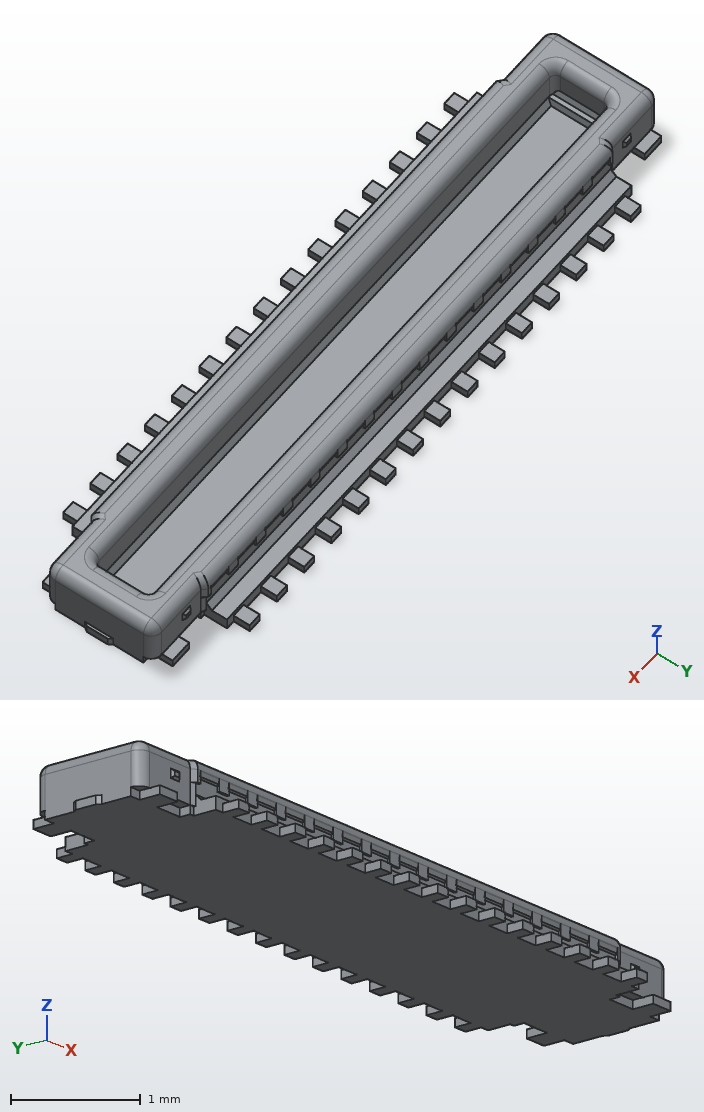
import cadquery as cq

HEIGHT = 0.474
END_X = 3.25
END_Y = 0.525
RIM_Y = 0.565
WALL_Y = 0.545
NECK_OUTER_X = 2.645
NECK_INNER_X = 2.60
EDGE_RADIUS = 0.10
RIM_BOTTOM = 0.265
FOOT_HEIGHT = 0.075
FOOT_Y = END_Y - EDGE_RADIUS

LEDGE_Y = 0.745
LEDGE_TOP = 0.115
SLOPE_Y = 0.60
SLOPE_TOP = LEDGE_TOP + SLOPE_Y - WALL_Y

CONTACT_COUNT = 15
PITCH = 0.35
TAIL_WIDTH = 0.13
TAIL_TIP_Y = 0.90
RIM_NOTCH_WIDTH = 0.23
RIM_NOTCH_GAP = 0.005
RIM_NOTCH_TOP = HEIGHT - EDGE_RADIUS - RIM_NOTCH_GAP
RIM_NOTCH_BEND_Y = 0.558
RIM_NOTCH_BEND_Z = 0.325
RIM_NOTCH_WALL_Z = 0.31

TAB_X = 3.035
TAB_WIDTH = 0.215
TAB_TIP_Y = 0.627
NUB_TIP_X = 3.275
NUB_ROOT_HALF_WIDTH = 0.138
NUB_TIP_HALF_WIDTH = 0.10
BUMP_X = 2.83
BUMP_Z = 0.27
BUMP_WIDTH = 0.10
BUMP_HEIGHT = 0.08
BUMP_TIP_WIDTH = 0.06
BUMP_TIP_HEIGHT = 0.04
BUMP_DEPTH = 0.022

POCKET_X = 2.955
POCKET_Y = 0.27
POCKET_CORNER_RADIUS = 0.06
SHELF_Z = 0.13
WELL_TOP_X = 2.885
WELL_BOTTOM_X = 2.865
WELL_BOTTOM_Y = 0.23
FLOOR_Z = 0.07
SHELF_BEVEL_X = 0.025
SHELF_BEVEL_Z = 0.05

SIDES = (-1, 1)
TOLERANCE = 0.01
CONTACT_X = [(i - (CONTACT_COUNT - 1) / 2) * PITCH for i in range(CONTACT_COUNT)]


def block(x_range, y_range, z_range):
    """Axis-aligned box between the given limits."""
    (x0, x1), (y0, y1), (z0, z1) = x_range, y_range, z_range
    return cq.Workplane("XY").box(x1 - x0, y1 - y0, z1 - z0, centered=False).translate((x0, y0, z0))


def side_block(x, width, y_inner, y_outer, z_range, side):
    """Box centred on x, reaching from y_inner to y_outer on one long side."""
    y_range = sorted((side * y_inner, side * y_outer))
    return block((x - width / 2, x + width / 2), y_range, z_range)


def housing_prism(middle_y, z0, z1):
    """Prism with the end-block width at both ends and middle_y between them."""
    quarter = [(END_X, END_Y), (NECK_OUTER_X, END_Y), (NECK_INNER_X, middle_y)]
    right = [(x, -y) for x, y in reversed(quarter)] + quarter
    outline = right + [(-x, -y) for x, y in right]
    prism = cq.Workplane("XY").workplane(offset=z0).polyline(outline).close().extrude(z1 - z0)
    for end in SIDES:
        end_corners = cq.selectors.BoxSelector(
            (end * (END_X - TOLERANCE), -END_Y - TOLERANCE, z0),
            (end * (END_X + TOLERANCE), END_Y + TOLERANCE, z1),
        )
        prism = prism.edges("|Z").edges(end_corners).fillet(EDGE_RADIUS)
    return prism


def make_housing():
    """Solid housing: rounded rim on a slightly narrower body with undercut ends."""
    upper = housing_prism(RIM_Y, RIM_BOTTOM, HEIGHT).faces(">Z").edges().fillet(EDGE_RADIUS)
    lower = housing_prism(WALL_Y, FOOT_HEIGHT, RIM_BOTTOM)
    middle_base = block((-NECK_OUTER_X, NECK_OUTER_X), (-END_Y, END_Y), (0, FOOT_HEIGHT))
    end_base = block((-END_X, END_X), (-FOOT_Y, FOOT_Y), (0, FOOT_HEIGHT))
    return upper.union(lower).union(middle_base).union(end_base)


def make_ledges():
    """Both side ledges as one bar through the housing."""
    half = [(LEDGE_Y, 0), (LEDGE_Y, LEDGE_TOP), (SLOPE_Y, LEDGE_TOP), (WALL_Y, SLOPE_TOP)]
    outline = half + [(-y, z) for y, z in reversed(half)]
    return cq.Workplane("YZ").polyline(outline).close().extrude(NECK_INNER_X, both=True)


def make_pocket():
    """Pocket volume: straight mouth with bevelled ends above a tapered well."""
    mouth = (
        cq.Workplane("XY")
        .workplane(offset=SHELF_Z)
        .rect(2 * POCKET_X, 2 * POCKET_Y)
        .extrude(HEIGHT - SHELF_Z)
        .edges("|Z")
        .fillet(POCKET_CORNER_RADIUS)
    )
    for side in SIDES:
        bevel = [
            (side * POCKET_X, SHELF_Z),
            (side * (POCKET_X - SHELF_BEVEL_X), SHELF_Z),
            (side * POCKET_X, SHELF_Z + SHELF_BEVEL_Z),
        ]
        mouth = mouth.cut(cq.Workplane("XZ").polyline(bevel).close().extrude(POCKET_Y, both=True))
    well = (
        cq.Workplane("XY")
        .workplane(offset=FLOOR_Z)
        .rect(2 * WELL_BOTTOM_X, 2 * WELL_BOTTOM_Y)
        .workplane(offset=SHELF_Z - FLOOR_Z)
        .rect(2 * WELL_TOP_X, 2 * POCKET_Y)
        .loft(ruled=True)
    )
    return mouth.union(well)


def make_rim_notch(x, side):
    """Notch under the rim above one contact."""
    outline = [
        (side * RIM_Y, RIM_BOTTOM),
        (side * WALL_Y, RIM_BOTTOM),
        (side * WALL_Y, RIM_NOTCH_WALL_Z),
        (side * RIM_NOTCH_BEND_Y, RIM_NOTCH_BEND_Z),
        (side * RIM_Y, RIM_NOTCH_TOP),
    ]
    notch = cq.Workplane("YZ").polyline(outline).close().extrude(RIM_NOTCH_WIDTH / 2, both=True)
    return notch.translate((x, 0, 0))


def make_bump(x, side):
    """Small square frustum on the outer side of an end block."""
    normal = cq.Plane(origin=(x, side * END_Y, BUMP_Z), xDir=(1, 0, 0), normal=(0, side, 0))
    return (
        cq.Workplane(normal)
        .rect(BUMP_WIDTH, BUMP_HEIGHT)
        .workplane(offset=BUMP_DEPTH)
        .rect(BUMP_TIP_WIDTH, BUMP_TIP_HEIGHT)
        .loft(ruled=True)
    )


def make_nub(side):
    """Tapered nub at the foot of one end of the housing."""
    outline = [
        (side * END_X, -NUB_ROOT_HALF_WIDTH),
        (side * NUB_TIP_X, -NUB_TIP_HALF_WIDTH),
        (side * NUB_TIP_X, NUB_TIP_HALF_WIDTH),
        (side * END_X, NUB_ROOT_HALF_WIDTH),
    ]
    return cq.Workplane("XY").polyline(outline).close().extrude(FOOT_HEIGHT)


def round_pocket_mouth(body):
    """Round the top edge of the pocket."""
    x, y = POCKET_X + TOLERANCE, POCKET_Y + TOLERANCE
    mouth_edges = cq.selectors.BoxSelector((-x, -y, HEIGHT - TOLERANCE), (x, y, HEIGHT + TOLERANCE))
    return body.edges(mouth_edges).fillet(EDGE_RADIUS)


def add_contacts(body, side):
    """Notch the rim and add the tails along one long side."""
    for x in CONTACT_X:
        body = body.cut(make_rim_notch(x, side))
        body = body.union(side_block(x, TAIL_WIDTH, WALL_Y, TAIL_TIP_Y, (0, FOOT_HEIGHT), side))
    return body


def add_end_details(body, side):
    """Add the hold-down tabs and bumps at both ends of one long side."""
    for end in SIDES:
        body = body.union(side_block(end * TAB_X, TAB_WIDTH, FOOT_Y, TAB_TIP_Y, (0, FOOT_HEIGHT), side))
        body = body.union(make_bump(end * BUMP_X, side))
    return body


result = make_housing().union(make_ledges())
result = round_pocket_mouth(result.cut(make_pocket()))
for side in SIDES:
    result = add_contacts(result, side)
    result = add_end_details(result, side)
    result = result.union(make_nub(side))